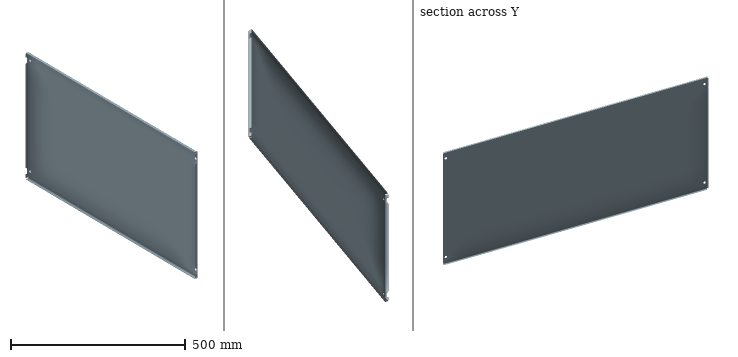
import cadquery as cq

length = 847.0
depth = 10.0
height = 400.0

sheet = 1.5
inner_radius = 2.0
outer_radius = inner_radius + sheet

long_flange_inset = 2.5
end_flange_inset = 4.0

notch_start = 16.0
notch_width = 18.0
notch_depth = 6.0
notch_corner_radius = 3.0

hole_diameter = 8.05
hole_from_end = 10.0
hole_from_edge = notch_start + notch_width / 2

back = depth / 2
front = -depth / 2


def folded_channel(span, run):
    """Sheet with both edges bent forward: span lies along X, run is extruded along Z."""
    outer = (
        cq.Workplane("XY")
        .box(span, depth, run)
        .edges("|Z and >Y")
        .fillet(outer_radius)
    )
    cavity = (
        cq.Workplane("XY")
        .box(span - 2 * sheet, depth, run)
        .edges("|Z and >Y")
        .fillet(inner_radius)
        .translate((0, -sheet, 0))
    )
    return outer.cut(cavity)


def upper_notch():
    """Cutter through both end flanges near +Z, open toward -Y."""
    top = height / 2 - notch_start
    bottom = top - notch_width
    return (
        cq.Workplane("YZ", origin=(-length / 2, 0, 0))
        .moveTo(front, top)
        .lineTo(front + notch_depth, top)
        .lineTo(front + notch_depth, bottom)
        .lineTo(front + notch_corner_radius, bottom)
        .tangentArcPoint((front, bottom - notch_corner_radius), relative=False)
        .close()
        .extrude(length)
    )


def end_flanges():
    """Back sheet with the flanges at -X and +X, notched near both corners."""
    notch = upper_notch()
    channel = folded_channel(length, height - 2 * end_flange_inset)
    return channel.cut(notch).cut(notch.mirror("XY"))


def long_flanges():
    """Back sheet with the flanges at -Z and +Z."""
    channel = folded_channel(height, length - 2 * long_flange_inset)
    return channel.rotate((0, 0, 0), (0, 1, 0), 90)


def mounting_holes():
    """Cutters for the four holes through the back sheet."""
    return (
        cq.Workplane("XZ", origin=(0, back, 0))
        .rarray(length - 2 * hole_from_end, height - 2 * hole_from_edge, 2, 2)
        .circle(hole_diameter / 2)
        .extrude(depth)
    )


result = end_flanges().union(long_flanges()).cut(mounting_holes())